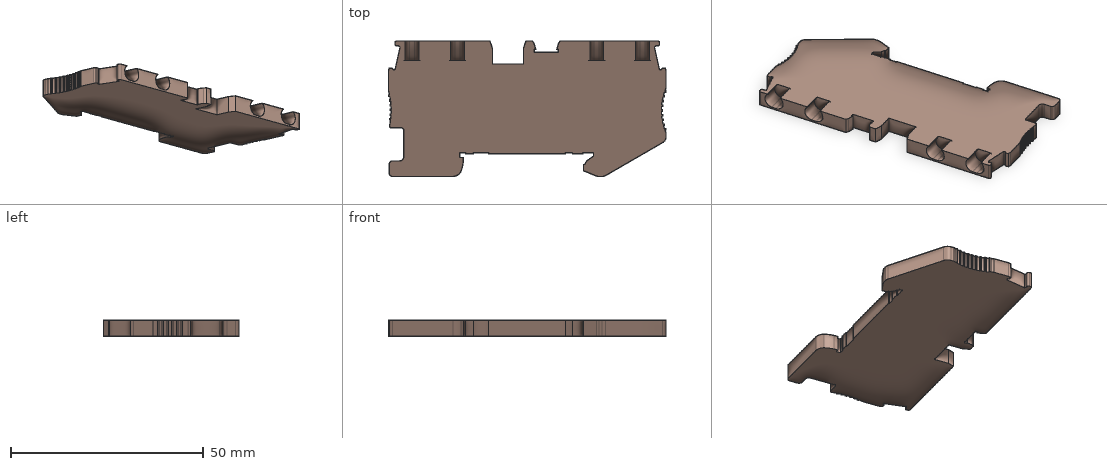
import cadquery as cq
import math

LENGTH = 72.2
HEIGHT = 35.2
THICKNESS = 4.2

LEFT = -LENGTH / 2
RIGHT = LENGTH / 2
TOP = HEIGHT / 2
BOTTOM = -HEIGHT / 2
BACK = -THICKNESS / 2
FACE = THICKNESS / 2

LIP_X = 34.4
LIP_HEIGHT = 1.3
LIP_ROUND = 0.4
NECK_X = 33.1
NECK_CHAMFER = 0.3
SHOULDER_Y = 10.55
SHOULDER_STEP_X = 35.1
SHOULDER_DIP_X = 34.8
SHOULDER_DIP = 0.35
SHOULDER_EDGE_INSET = 0.2
SHOULDER_EDGE_DROP = 0.8

SOCKET_LEFT = -9.0
SOCKET_RIGHT = -1.0
SOCKET_FLOOR_Y = 11.7
SOCKET_FLARE = 0.65
SOCKET_FLARE_DEPTH = 1.9

SNAP_LEFT = 1.9
SNAP_RIGHT = 8.0
SNAP_FLOOR_Y = 14.7
BARB_Y = 15.45
BARB = 0.35
BARB_BEND_INSET = 0.1
BARB_BEND_Y = 17.0
SNAP_MOUTH_FLARE = 0.5

GRIP_MIDDLE_Y = -0.4
LEFT_GRIP_TOP_Y = 4.8
LEFT_GRIP_BOTTOM_Y = -4.4
LEFT_GRIP_DEPTH = 0.7
LEFT_GRIP_RADIUS = 19.1
RIGHT_GRIP_HALF_HEIGHT = 5.85
RIGHT_GRIP_DEPTH = 1.2
LEFT_RIDGE_COUNT = 6
LEFT_RIDGE_TOP_Y = 3.4
RIGHT_RIDGE_COUNT = 9
RIDGE_PITCH = 1.2
RIDGE_WIDTH = 0.4
RIDGE_HEIGHT = 0.3

GAP_TOP_Y = -5.0
GAP_X = -32.1
GAP_TOP_ROUND = 0.5
GAP_BOTTOM_ROUND = 1.0
FOOT_LEFT = -35.9
FOOT_TOP_Y = -13.5
FOOT_ROUND = 0.95
FOOT_RIGHT = -16.6
TOE_START_X = -19.35
TOE_ROUND_MIDDLE = (-18.1, -17.25)
TOE_ROUND_END = (-17.25, -16.4)
TOE_SIDE_MIDDLE = (-16.8, -15.1)
TOE_SIDE_TOP_Y = -13.8

RAIL_LEFT = -17.5
RAIL_NOTCH_Y = -12.6
SEAT_Y = -11.5
PAD_HEIGHT = 0.2
PADS = [(-16.0, -14.0), (-10.0, 9.9), (11.7, 14.45)]

HOOK_ROOT_X = 17.2
HOOK_ROOT_Y = -12.3
HOOK_BEND = (15.4, -13.6)
HOOK_LEDGE = (14.95, -14.45)
HOOK_TIP_X = 14.6
HOOK_TIP_BOTTOM_Y = -16.1
HOOK_BOTTOM_LEFT = 18.3
HOOK_BOTTOM_RIGHT = 19.9
HOOK_ROUND = 1.7
SLOPE_ANGLE = 30.0
SLOPE_ROUND = 1.9

GROOVE_CENTRES = [-29.9, -18.1, 18.05, 29.9]
GROOVE_LENGTH = 5.1
GROOVE_MOUTH = 3.6
GROOVE_RADIUS = 2.0
GROOVE_FLOOR_WIDTH = 1.3


def grip_radius(half_height, depth):
    """Radius of an arc from its half chord and its depth."""
    return (half_height**2 + depth**2) / (2 * depth)


def grip_depth_at(y, radius, depth):
    """How far the grip surface lies inside the end face at height y."""
    offset = y - GRIP_MIDDLE_Y
    return depth - radius + math.sqrt(radius**2 - offset**2)


def top_corner(side):
    """Outline points from the lip down to the end face; side is -1 for left, 1 for right."""
    lip_bottom = TOP - LIP_HEIGHT
    points = [
        (LIP_X, TOP),
        (LIP_X, lip_bottom),
        (NECK_X + NECK_CHAMFER, lip_bottom),
        (NECK_X, lip_bottom - NECK_CHAMFER),
        (LIP_X, SHOULDER_Y - SHOULDER_DIP),
        (SHOULDER_DIP_X, SHOULDER_Y - SHOULDER_DIP),
        (SHOULDER_STEP_X, SHOULDER_Y),
        (RIGHT - SHOULDER_EDGE_INSET, SHOULDER_Y),
        (RIGHT, SHOULDER_Y - SHOULDER_EDGE_DROP),
    ]
    return [(side * x, y) for x, y in points]


def top_edge():
    """Outline points of the socket and the snap slot, from left to right."""
    flare_bottom = TOP - SOCKET_FLARE_DEPTH
    barb_left = SNAP_LEFT + BARB
    barb_right = SNAP_RIGHT - BARB
    return [
        (SOCKET_LEFT - SOCKET_FLARE, TOP),
        (SOCKET_LEFT, flare_bottom),
        (SOCKET_LEFT, SOCKET_FLOOR_Y),
        (SOCKET_RIGHT, SOCKET_FLOOR_Y),
        (SOCKET_RIGHT, flare_bottom),
        (SOCKET_RIGHT + SOCKET_FLARE, TOP),
        (SNAP_LEFT - SNAP_MOUTH_FLARE, TOP),
        (SNAP_LEFT - BARB_BEND_INSET, BARB_BEND_Y),
        (barb_left, BARB_Y),
        (SNAP_LEFT, BARB_Y),
        (SNAP_LEFT, SNAP_FLOOR_Y),
        (SNAP_RIGHT, SNAP_FLOOR_Y),
        (SNAP_RIGHT, BARB_Y),
        (barb_right, BARB_Y),
        (SNAP_RIGHT + BARB_BEND_INSET, BARB_BEND_Y),
        (SNAP_RIGHT + SNAP_MOUTH_FLARE, TOP),
    ]


def rail_edge():
    """Outline points of the rail seat with its low pads, from right to left."""
    points = [(HOOK_ROOT_X, SEAT_Y)]
    for pad_left, pad_right in reversed(PADS):
        points += [
            (pad_right, SEAT_Y),
            (pad_right, SEAT_Y - PAD_HEIGHT),
            (pad_left, SEAT_Y - PAD_HEIGHT),
            (pad_left, SEAT_Y),
        ]
    return points + [(RAIL_LEFT, SEAT_Y), (RAIL_LEFT, RAIL_NOTCH_Y), (FOOT_RIGHT, RAIL_NOTCH_Y)]


def left_grip_x(y):
    return LEFT + grip_depth_at(y, LEFT_GRIP_RADIUS, LEFT_GRIP_DEPTH)


def right_grip_x(y):
    radius = grip_radius(RIGHT_GRIP_HALF_HEIGHT, RIGHT_GRIP_DEPTH)
    return RIGHT - grip_depth_at(y, radius, RIGHT_GRIP_DEPTH)


def slope_end_y():
    """Height at which the sloping underside meets the right end face."""
    return BOTTOM + (RIGHT - HOOK_BOTTOM_RIGHT) * math.tan(math.radians(SLOPE_ANGLE))


def make_plate():
    """Flat plate with the complete outline, corners still sharp."""
    left_grip_bottom = (left_grip_x(LEFT_GRIP_BOTTOM_Y), LEFT_GRIP_BOTTOM_Y)
    left_grip_top = (left_grip_x(LEFT_GRIP_TOP_Y), LEFT_GRIP_TOP_Y)
    right_points = top_corner(1) + [(RIGHT, GRIP_MIDDLE_Y + RIGHT_GRIP_HALF_HEIGHT)]
    hook_points = [
        (RIGHT, slope_end_y()),
        (HOOK_BOTTOM_RIGHT, BOTTOM),
        (HOOK_BOTTOM_LEFT, BOTTOM),
        (HOOK_TIP_X, HOOK_TIP_BOTTOM_Y),
        (HOOK_TIP_X, HOOK_LEDGE[1]),
        HOOK_LEDGE,
        HOOK_BEND,
        (HOOK_ROOT_X, HOOK_ROOT_Y),
    ]
    foot_points = [
        (FOOT_LEFT, BOTTOM),
        (FOOT_LEFT, FOOT_TOP_Y),
        (GAP_X, FOOT_TOP_Y),
        (GAP_X, GAP_TOP_Y),
        (left_grip_bottom[0], GAP_TOP_Y),
        left_grip_bottom,
    ]
    outline = (
        cq.Workplane("XY", origin=(0, 0, BACK))
        .polyline(top_corner(-1)[::-1] + top_edge() + right_points)
        .threePointArc(
            (right_grip_x(GRIP_MIDDLE_Y), GRIP_MIDDLE_Y),
            (RIGHT, GRIP_MIDDLE_Y - RIGHT_GRIP_HALF_HEIGHT),
        )
        .polyline(hook_points + rail_edge() + [(FOOT_RIGHT, TOE_SIDE_TOP_Y)], includeCurrent=True)
        .threePointArc(TOE_SIDE_MIDDLE, TOE_ROUND_END)
        .threePointArc(TOE_ROUND_MIDDLE, (TOE_START_X, BOTTOM))
        .polyline(foot_points, includeCurrent=True)
        .threePointArc((left_grip_x(GRIP_MIDDLE_Y), GRIP_MIDDLE_Y), left_grip_top)
        .lineTo(LEFT, LEFT_GRIP_TOP_Y)
        .close()
    )
    return outline.extrude(THICKNESS)


def round_corner(plate, x, y, radius):
    """Round the upright edge that passes through (x, y)."""
    return plate.edges(cq.selectors.NearestToPointSelector((x, y, 0))).fillet(radius)


def round_corners(plate):
    corners = [
        (-LIP_X, TOP, LIP_ROUND),
        (-LIP_X, TOP - LIP_HEIGHT, LIP_ROUND),
        (LIP_X, TOP, LIP_ROUND),
        (LIP_X, TOP - LIP_HEIGHT, LIP_ROUND),
        (left_grip_x(LEFT_GRIP_BOTTOM_Y), GAP_TOP_Y, GAP_TOP_ROUND),
        (GAP_X, GAP_TOP_Y, GAP_TOP_ROUND),
        (GAP_X, FOOT_TOP_Y, GAP_BOTTOM_ROUND),
        (FOOT_LEFT, FOOT_TOP_Y, FOOT_ROUND),
        (FOOT_LEFT, BOTTOM, FOOT_ROUND),
        (HOOK_BOTTOM_LEFT, BOTTOM, HOOK_ROUND),
        (HOOK_BOTTOM_RIGHT, BOTTOM, HOOK_ROUND),
        (RIGHT, slope_end_y(), SLOPE_ROUND),
    ]
    for x, y, radius in corners:
        plate = round_corner(plate, x, y, radius)
    return plate


def add_ridges(plate, grip_x, top_y, count):
    """Row of full-thickness ridges on a grip surface, sunk in by their own height."""
    for index in range(count):
        y = top_y - index * RIDGE_PITCH
        ridge = cq.Workplane("XY").box(2 * RIDGE_HEIGHT, RIDGE_WIDTH, THICKNESS)
        plate = plate.union(ridge.translate((grip_x(y), y, 0)))
    return plate


def make_groove(x):
    """Slot along Y with a flat floor and round sides that curl in to the mouth at the face."""
    half_floor = GROOVE_FLOOR_WIDTH / 2
    side_run = GROOVE_MOUTH / 2 - half_floor
    axis_depth = math.sqrt(GROOVE_RADIUS**2 - side_run**2)
    profile = (
        cq.Workplane("XZ", origin=(x, TOP, FACE))
        .moveTo(-half_floor, -axis_depth - GROOVE_RADIUS)
        .lineTo(half_floor, -axis_depth - GROOVE_RADIUS)
        .threePointArc((half_floor + GROOVE_RADIUS, -axis_depth), (GROOVE_MOUTH / 2, 0))
        .lineTo(-GROOVE_MOUTH / 2, 0)
        .threePointArc(
            (-half_floor - GROOVE_RADIUS, -axis_depth),
            (-half_floor, -axis_depth - GROOVE_RADIUS),
        )
        .close()
    )
    return profile.extrude(GROOVE_LENGTH)


right_ridge_top_y = GRIP_MIDDLE_Y + RIDGE_PITCH * (RIGHT_RIDGE_COUNT - 1) / 2

result = round_corners(make_plate())
result = add_ridges(result, left_grip_x, LEFT_RIDGE_TOP_Y, LEFT_RIDGE_COUNT)
result = add_ridges(result, right_grip_x, right_ridge_top_y, RIGHT_RIDGE_COUNT)
for groove_x in GROOVE_CENTRES:
    result = result.cut(make_groove(groove_x))